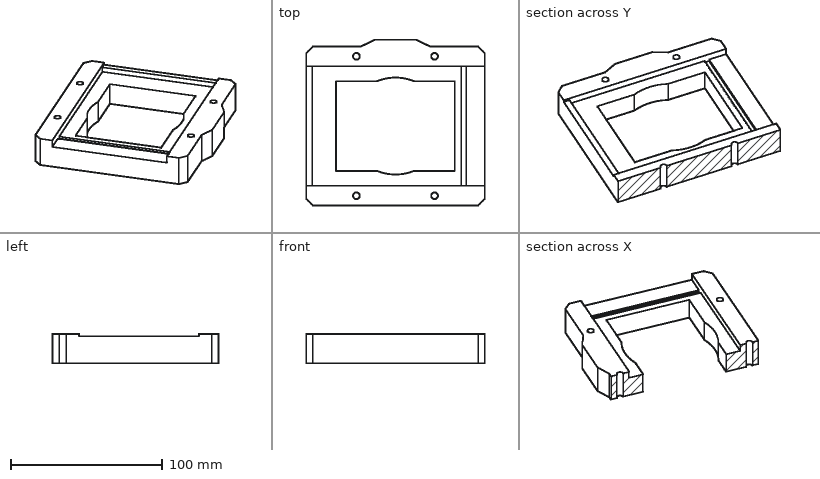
import cadquery as cq

length = 118.2
total_width = 109.67
height = 19.5
frame_width = 105.07
corner_chamfer = 4.6

tab_depth = total_width - frame_width
tab_root_width = 46
tab_tip_width = 27.0

channel_width = 79.0
lip_width = 4.2
lip_drop = 1.5
floor_drop = 4.8

groove_start_x = 43.4
groove_width = 3.2
groove_drop = 6.2

window_length = 78.2
window_width = 59.1
window_center_x = -0.1
bulge_height = 2.4
bulge_width = 24.5

hole_diameter = 4.3
hole_spacing_x = 51.6
hole_spacing_y = 92.1


def box_between(x_start, x_end, width, z_start, z_end):
    """Box centred on Y that spans the given X and Z ranges."""
    return (
        cq.Workplane("XY")
        .box(x_end - x_start, width, z_end - z_start, centered=(False, True, False))
        .translate((x_start, 0, z_start))
    )


def make_frame():
    """Solid block with chamfered corners and the tapered tab."""
    block = cq.Workplane("XY").box(length, frame_width, height, centered=(True, True, False))
    block = block.edges("|Z").chamfer(corner_chamfer)
    back = frame_width / 2
    tab = (
        cq.Workplane("XY")
        .moveTo(-tab_root_width / 2, back)
        .lineTo(-tab_tip_width / 2, back + tab_depth)
        .lineTo(tab_tip_width / 2, back + tab_depth)
        .lineTo(tab_root_width / 2, back)
        .close()
        .extrude(height)
    )
    return block.union(tab)


def make_channel():
    """Channel space: shallow over the left lip, deep over the floor, deepest in the groove."""
    left = -length / 2
    right = length / 2
    over_lip = box_between(left, right, channel_width, height - lip_drop, height)
    over_floor = box_between(left + lip_width, right, channel_width, height - floor_drop, height)
    groove = box_between(
        groove_start_x, groove_start_x + groove_width, channel_width, height - groove_drop, height
    )
    return over_lip.union(over_floor).union(groove)


def make_window():
    """Rectangular opening with an arc bulging out of each long side."""
    left = window_center_x - window_length / 2
    right = window_center_x + window_length / 2
    edge = window_width / 2
    crown = edge + bulge_height
    bulge_end = bulge_width / 2
    return (
        cq.Workplane("XY")
        .moveTo(left, -edge)
        .lineTo(-bulge_end, -edge)
        .threePointArc((0, -crown), (bulge_end, -edge))
        .lineTo(right, -edge)
        .lineTo(right, edge)
        .lineTo(bulge_end, edge)
        .threePointArc((0, crown), (-bulge_end, edge))
        .lineTo(left, edge)
        .close()
        .extrude(height)
    )


def make_holes():
    """Four through holes, two in each rail."""
    return (
        cq.Workplane("XY")
        .rect(hole_spacing_x, hole_spacing_y, forConstruction=True)
        .vertices()
        .circle(hole_diameter / 2)
        .extrude(height)
    )


result = make_frame().cut(make_channel()).cut(make_window()).cut(make_holes())